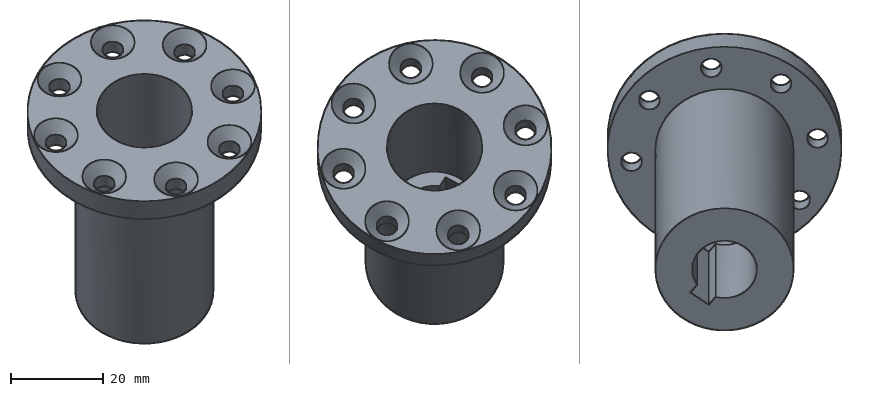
import cadquery as cq

total_height = 61.55
flange_diameter = 50.8
flange_thickness = 6.15
barrel_diameter = 30.05

wide_bore_diameter = 20.7
keyed_bore_diameter = 14.05
keyed_length = 24.6
keyway_width = 5.0
keyway_reach = 9.0

hole_count = 8
hole_circle_diameter = 40.8
hole_diameter = 4.5
countersink_diameter = 9.5
countersink_angle = 90.0


def make_body():
    """Barrel standing on Z = 0 with the flange at its top."""
    barrel = cq.Workplane("XY").circle(barrel_diameter / 2).extrude(total_height)
    flange = (
        cq.Workplane("XY", origin=(0, 0, total_height - flange_thickness))
        .circle(flange_diameter / 2)
        .extrude(flange_thickness)
    )
    return barrel.union(flange)


def make_bore():
    """Keyed through bore, widened above the keyed length."""
    narrow = cq.Workplane("XY").circle(keyed_bore_diameter / 2).extrude(total_height)
    wide = (
        cq.Workplane("XY", origin=(0, 0, keyed_length))
        .circle(wide_bore_diameter / 2)
        .extrude(total_height - keyed_length)
    )
    keyway = (
        cq.Workplane("XY")
        .rect(keyway_width, keyway_reach, centered=(True, False))
        .extrude(keyed_length)
    )
    return narrow.union(wide).union(keyway)


def cut_flange_holes(body):
    """Ring of countersunk holes, opening on the flange's top face."""
    return (
        body.faces(">Z")
        .workplane(origin=(0, 0, total_height))
        .polarArray(hole_circle_diameter / 2, 0, 360, hole_count)
        .cskHole(hole_diameter, countersink_diameter, countersink_angle, flange_thickness)
    )


result = cut_flange_holes(make_body().cut(make_bore()))